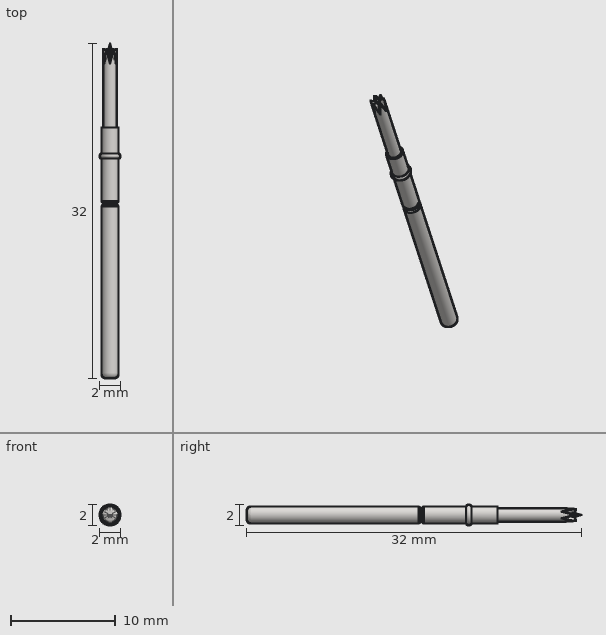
import cadquery as cq
import math

total_length = 32.0

barrel_radius = 0.83
barrel_length = 24.0
rear_round = 0.45

ring_radius = 1.0
ring_center = 21.25
ring_half_width = 0.25

neck_radius = 0.67
neck_rear = 16.4
neck_front = 16.95
neck_flank = 0.2

plunger_radius = 0.655
tooth_count = 6
tooth_drop = 0.5
gully_center_drop = 0.7
gully_edge_drop = 1.92

needle_length = 0.83
needle_base_radius = 0.22


def make_body():
    """Revolve the barrel with its ring and neck, together with the uncut plunger."""
    return (
        cq.Workplane("XY")
        .moveTo(0, 0)
        .lineTo(barrel_radius - rear_round, 0)
        .radiusArc((barrel_radius, rear_round), -rear_round)
        .lineTo(barrel_radius, neck_rear)
        .lineTo(neck_radius, neck_rear + neck_flank)
        .lineTo(neck_radius, neck_front - neck_flank)
        .lineTo(barrel_radius, neck_front)
        .lineTo(barrel_radius, ring_center - ring_half_width)
        .threePointArc((ring_radius, ring_center), (barrel_radius, ring_center + ring_half_width))
        .lineTo(barrel_radius, barrel_length)
        .lineTo(plunger_radius, barrel_length)
        .lineTo(plunger_radius, total_length - tooth_drop)
        .lineTo(0, total_length - tooth_drop)
        .close()
        .revolve(360, (0, 0, 0), (0, 1, 0))
    )


def make_gully():
    """V-shaped cutter above the axis whose floor falls back from the axis to the outside."""
    floor_slope = (gully_edge_drop - gully_center_drop) / plunger_radius
    half_pitch = math.pi / tooth_count
    tooth_along = plunger_radius * math.cos(half_pitch)
    tooth_across = plunger_radius * math.sin(half_pitch)
    wall_rise = gully_center_drop + floor_slope * tooth_along - tooth_drop
    wall_slope = wall_rise / tooth_across

    wall_slope_in_plane = wall_slope / math.hypot(1, floor_slope)
    cutter_height = 2 * gully_edge_drop
    cutter_half_width = cutter_height / wall_slope_in_plane
    floor_plane = cq.Plane(
        origin=(0, total_length - gully_center_drop, 0),
        xDir=(1, 0, 0),
        normal=(0, -floor_slope, 1),
    )
    return (
        cq.Workplane(floor_plane)
        .polyline([(0, 0), (cutter_half_width, cutter_height), (-cutter_half_width, cutter_height)])
        .close()
        .extrude(2 * gully_edge_drop, both=True)
    )


def make_needle():
    """Pointed cone on the axis, rooted below the meeting point of the gullies."""
    return (
        cq.Workplane("XY")
        .moveTo(0, total_length - needle_length)
        .lineTo(needle_base_radius, total_length - needle_length)
        .lineTo(0, total_length)
        .close()
        .revolve(360, (0, 0, 0), (0, 1, 0))
    )


result = make_body()
gully = make_gully()
for index in range(tooth_count):
    result = result.cut(gully.rotate((0, 0, 0), (0, 1, 0), index * 360 / tooth_count))
result = result.union(make_needle())